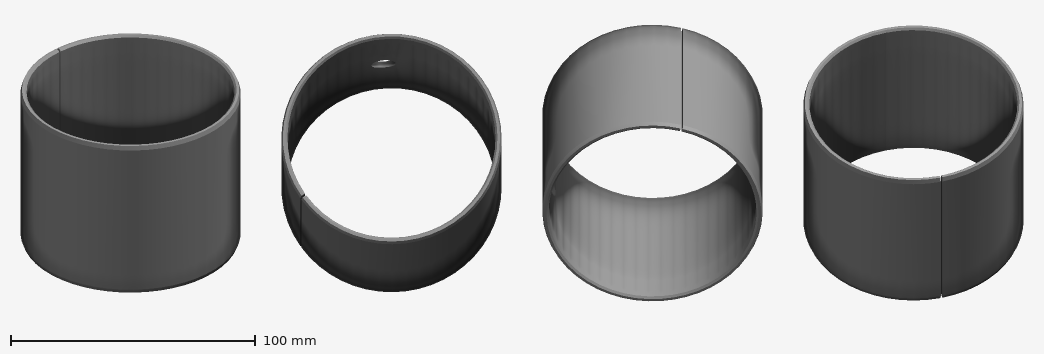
import cadquery as cq
import math

outer_diameter = 90.0
wall = 2.5
height = 70.0
outer_radius = outer_diameter / 2
inner_radius = outer_radius - wall

outer_chamfer_length = 1.8
outer_chamfer_depth = 0.6
inner_chamfer = 0.8

hole_diameter = 10.0
hole_angle = 59.3
hole_height = height / 2

split_width = 0.8
split_offset = split_width / 2


def bushing_body():
    """Revolve the wall section, chamfered on both faces at both ends."""
    outer_end_radius = outer_radius - outer_chamfer_depth
    inner_end_radius = inner_radius + inner_chamfer
    section = [
        (inner_end_radius, 0),
        (outer_end_radius, 0),
        (outer_radius, outer_chamfer_length),
        (outer_radius, height - outer_chamfer_length),
        (outer_end_radius, height),
        (inner_end_radius, height),
        (inner_radius, height - inner_chamfer),
        (inner_radius, inner_chamfer),
    ]
    return cq.Workplane("XZ").polyline(section).close().revolve(360, (0, 0), (0, 1))


def lubrication_hole():
    """Radial cylinder that starts on the bushing axis and crosses one wall."""
    angle = math.radians(hole_angle)
    direction = cq.Vector(math.cos(angle), math.sin(angle), 0)
    start = cq.Vector(0, 0, hole_height)
    return cq.Solid.makeCylinder(hole_diameter / 2, outer_diameter, start, direction)


def split():
    """Thin full-height slab that opens the ring on the -X side."""
    return (
        cq.Workplane("XY")
        .center(-outer_radius, split_offset)
        .rect(outer_radius, split_width)
        .extrude(height)
    )


result = bushing_body().cut(cq.Workplane(lubrication_hole())).cut(split())